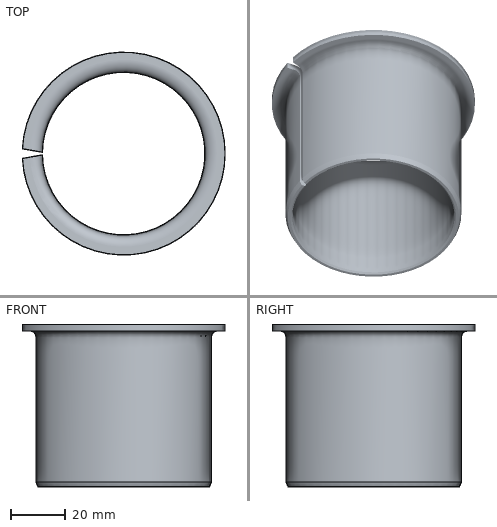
import cadquery as cq
import math

bore_radius = 30.0
wall = 2.5
height = 60.0
flange_radius = 37.5
flange_thickness = wall
neck_radius = 2.0
mouth_radius = neck_radius + wall

outer_chamfer_height = 1.8
outer_chamfer_angle = 25.0
inner_chamfer = 0.6

split_half_angle = 10.0
split_apex_radius = 27.5

outer_radius = bore_radius + wall
outer_chamfer_width = outer_chamfer_height * math.tan(math.radians(outer_chamfer_angle))


def make_sleeve():
    """Revolve the wall and flange section about Z, with the seam on -X inside the split."""
    flange_bottom = height - flange_thickness
    bend_center_x = outer_radius + neck_radius
    bend_center_z = flange_bottom - neck_radius
    diagonal = math.sqrt(0.5)
    neck_middle = (bend_center_x - neck_radius * diagonal, bend_center_z + neck_radius * diagonal)
    mouth_middle = (bend_center_x - mouth_radius * diagonal, bend_center_z + mouth_radius * diagonal)

    section = (
        cq.Workplane("XZ")
        .moveTo(bore_radius + inner_chamfer, 0)
        .lineTo(outer_radius - outer_chamfer_width, 0)
        .lineTo(outer_radius, outer_chamfer_height)
        .lineTo(outer_radius, bend_center_z)
        .threePointArc(neck_middle, (bend_center_x, flange_bottom))
        .lineTo(flange_radius, flange_bottom)
        .lineTo(flange_radius, height)
        .lineTo(bend_center_x, height)
        .threePointArc(mouth_middle, (bore_radius, bend_center_z))
        .lineTo(bore_radius, inner_chamfer)
        .close()
    )
    sleeve = section.revolve(360, (0, 0), (0, 1))
    return sleeve.rotate((0, 0, 0), (0, 0, 1), 180)


def make_split():
    """Wedge that opens outward toward -X and runs the full height."""
    wedge_end_radius = flange_radius + wall
    half_width = (wedge_end_radius - split_apex_radius) * math.tan(math.radians(split_half_angle))
    return (
        cq.Workplane("XY")
        .moveTo(-split_apex_radius, 0)
        .lineTo(-wedge_end_radius, half_width)
        .lineTo(-wedge_end_radius, -half_width)
        .close()
        .extrude(height)
    )


result = make_sleeve().cut(make_split())